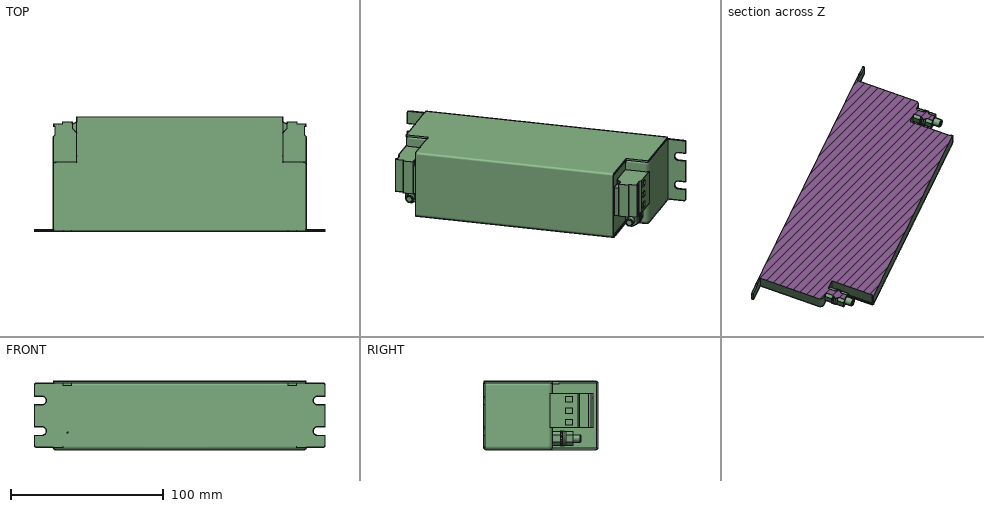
import cadquery as cq

LENGTH = 190.0
DEPTH = 75.0
HEIGHT = 45.0
SHEET = 1.2

BODY_HALF = 83.0
REAR_HALF = 67.5
RECESS_Y = 45.3
FLOOR_BEND = 2.4
TOP_BEND = 1.7
RECESS_BEND = 2.7
LID_HALF = 82.5
LID_FRONT_Y = 0.4
REAR_TOP_BEND = 1.4
REAR_FLOOR_BEND = 2.0
END_SETBACK = 0.6
LID_Z = HEIGHT - SHEET

FLANGE_END_Y = 49.4
FLANGE_DROP = 0.6

PLATE_BOTTOM = 1.8
PLATE_CORNER = 1.2
SLOT_WIDTH = 5.5
SLOT_DEPTH = 7.7
SLOT_MID_Z = 22.4
SLOT_SPACING = 20.0
RELIEF_INNER_X = 70.9
RELIEF_OUTER_X = 76.2

BLOCK_BOTTOM = 14.7
BLOCK_HEIGHT = 22.4
BLOCK_FACE_X = 82.8
BLOCK_GAP_X = 70.2
BLOCK_FRONT_Y = 43.5
BLOCK_REAR_Y = 71.6
GRIP_START_Y = 63.0
GRIP_END_Y = 68.7
GRIP_DEPTH = 1.1
SHOULDER_Y = 70.3
SHOULDER_OUTER_X = 82.5
SHOULDER_INNER_X = 76.8
GAP_SLOPE_OUTER_Y = 67.5
GAP_SLOPE_INNER_Y = 64.5
WINDOW_WIDTH = 4.4
WINDOW_HEIGHT = 3.5
WINDOW_DEPTH = 1.0
WINDOW_Y = 55.9
WINDOW_PITCH = 7.5
WINDOW_MID_Z = 25.75
WINDOW_COUNT = 3
CLIP_DROP = 3.0

STUD_X = 75.0
STUD_Z = 7.5
STUD_DIAMETER = 5.0
STUD_END_Y = 63.7
STUD_CHAMFER = 0.6
NUT_ACROSS_CORNERS = 9.24
INNER_NUT_END_Y = 50.3
TOOTHED_WASHER_END_Y = 51.6
FLAT_WASHER_END_Y = 52.7
OUTER_NUT_START_Y = 53.9
OUTER_NUT_END_Y = 58.5
WASHER_DIAMETER = 10.0
SPRING_WASHER_DIAMETER = 9.2
TOOTH_COUNT = 12
TOOTH_WIDTH = 1.2


def box(x0, x1, y0, y1, z0, z1):
    return cq.Workplane("XY").box(x1 - x0, y1 - y0, z1 - z0, centered=False).translate((x0, y0, z0))


def both_ends(shape):
    return shape.union(shape.mirror("YZ"))


def make_front_section():
    section = box(-BODY_HALF, BODY_HALF, 0, RECESS_Y, 0, LID_Z)
    section = section.edges("|Z and >Y").fillet(RECESS_BEND)
    section = section.edges("<Z and (<Y or <X or >X)").fillet(FLOOR_BEND)
    return section.edges(">Z and (<Y or <X or >X)").fillet(TOP_BEND)


def make_rear_section():
    section = box(-REAR_HALF, REAR_HALF, RECESS_Y - RECESS_BEND, DEPTH, 0, HEIGHT)
    section = section.edges("|X and >Y and >Z").fillet(REAR_TOP_BEND)
    section = section.edges("|X and >Y and <Z").fillet(REAR_FLOOR_BEND)
    panel_pocket = box(-REAR_HALF, END_SETBACK - REAR_HALF, RECESS_Y, DEPTH - SHEET, SHEET, LID_Z)
    flange = box(-REAR_HALF, SHEET - REAR_HALF, RECESS_Y, FLANGE_END_Y, LID_Z - FLANGE_DROP, LID_Z)
    return section.cut(both_ends(panel_pocket)).union(both_ends(flange))


def make_lid():
    return box(-LID_HALF, LID_HALF, LID_FRONT_Y, RECESS_Y, LID_Z, HEIGHT)


def make_plate():
    half = LENGTH / 2
    ear = box(-half, -RELIEF_OUTER_X, 0, SHEET, PLATE_BOTTOM, LID_Z)
    ear = ear.edges("|Y and <X").fillet(PLATE_CORNER)
    radius = SLOT_WIDTH / 2
    slot_end_x = SLOT_DEPTH - radius - half
    for side in (-1, 1):
        z = SLOT_MID_Z + side * SLOT_SPACING / 2
        slot = box(-half, slot_end_x, 0, SHEET, z - radius, z + radius)
        slot_end = cq.Workplane("XZ").center(slot_end_x, z).circle(radius).extrude(-SHEET)
        ear = ear.cut(slot).cut(slot_end)
    return both_ends(ear)


def make_reliefs():
    return both_ends(box(-RELIEF_OUTER_X, -RELIEF_INNER_X, 0, SHEET, LID_Z - TOP_BEND, LID_Z))


def make_terminal_block():
    face_x = -BLOCK_FACE_X
    inner_x = -REAR_HALF + SHEET
    outline = [
        (face_x, BLOCK_FRONT_Y),
        (face_x, GRIP_START_Y - GRIP_DEPTH),
        (face_x + GRIP_DEPTH, GRIP_START_Y),
        (face_x + GRIP_DEPTH, GRIP_END_Y),
        (-SHOULDER_OUTER_X, GRIP_END_Y),
        (-SHOULDER_OUTER_X, SHOULDER_Y),
        (-SHOULDER_INNER_X, SHOULDER_Y),
        (-SHOULDER_INNER_X, BLOCK_REAR_Y),
        (-BLOCK_GAP_X, BLOCK_REAR_Y),
        (-BLOCK_GAP_X, GAP_SLOPE_OUTER_Y),
        (-REAR_HALF, GAP_SLOPE_INNER_Y),
        (inner_x, GAP_SLOPE_INNER_Y),
        (inner_x, BLOCK_FRONT_Y),
    ]
    block = cq.Workplane("XY").polyline(outline).close().extrude(BLOCK_HEIGHT)
    clip_outline = [
        (inner_x, GAP_SLOPE_INNER_Y),
        (-REAR_HALF, GAP_SLOPE_INNER_Y),
        (-BLOCK_GAP_X, GAP_SLOPE_OUTER_Y),
        (-BLOCK_GAP_X, SHOULDER_Y),
        (-REAR_HALF, BLOCK_REAR_Y),
        (inner_x, BLOCK_REAR_Y),
    ]
    clip = cq.Workplane("XY").polyline(clip_outline).close().extrude(BLOCK_HEIGHT - CLIP_DROP)
    block = block.union(clip).translate((0, 0, BLOCK_BOTTOM))
    for index in range(WINDOW_COUNT):
        z = WINDOW_MID_Z + (index - (WINDOW_COUNT - 1) / 2) * WINDOW_PITCH
        window = cq.Workplane("XY").box(2 * WINDOW_DEPTH, WINDOW_WIDTH, WINDOW_HEIGHT)
        block = block.cut(window.translate((face_x, WINDOW_Y, z)))
    return block


def stud_plane(y):
    return cq.Workplane("XZ", origin=(-STUD_X, y, STUD_Z))


def make_nut(start_y, end_y):
    nut = stud_plane(start_y).polygon(6, NUT_ACROSS_CORNERS).extrude(start_y - end_y)
    return nut.rotate((-STUD_X, 0, STUD_Z), (-STUD_X, 1, STUD_Z), 90)


def make_disc(diameter, start_y, end_y):
    return stud_plane(start_y).circle(diameter / 2).extrude(start_y - end_y)


def make_toothed_washer():
    thickness = TOOTHED_WASHER_END_Y - INNER_NUT_END_Y
    washer = make_disc(NUT_ACROSS_CORNERS - TOOTH_WIDTH, INNER_NUT_END_Y, TOOTHED_WASHER_END_Y)
    for index in range(TOOTH_COUNT):
        angle = 360 / TOOTH_COUNT * index
        tooth = box(0, WASHER_DIAMETER / 2, 0, thickness, -TOOTH_WIDTH / 2, TOOTH_WIDTH / 2)
        tooth = tooth.rotate((0, 0, 0), (0, 1, 0), angle)
        washer = washer.union(tooth.translate((-STUD_X, INNER_NUT_END_Y, STUD_Z)))
    return washer


def make_earth_stud():
    stud = make_disc(STUD_DIAMETER, RECESS_Y - SHEET, STUD_END_Y).faces(">Y").chamfer(STUD_CHAMFER)
    stud = stud.union(make_nut(RECESS_Y, INNER_NUT_END_Y))
    stud = stud.union(make_toothed_washer())
    stud = stud.union(make_disc(WASHER_DIAMETER, TOOTHED_WASHER_END_Y, FLAT_WASHER_END_Y))
    stud = stud.union(make_disc(SPRING_WASHER_DIAMETER, FLAT_WASHER_END_Y, OUTER_NUT_START_Y))
    return stud.union(make_nut(OUTER_NUT_START_Y, OUTER_NUT_END_Y))


housing = make_front_section().cut(make_reliefs()).union(make_rear_section()).union(make_lid())
housing = housing.union(make_plate())
result = housing.union(both_ends(make_terminal_block())).union(both_ends(make_earth_stud()))